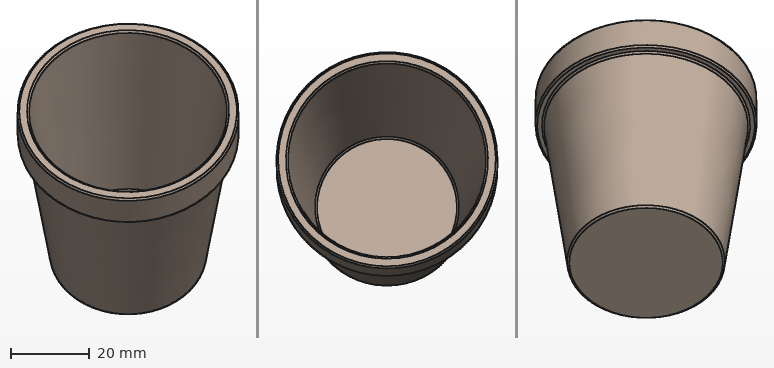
import cadquery as cq

height = 60.0
rim_radius = 28.11
rim_height = 10.0
edge_chamfer = 0.5

base_radius = 20.0
neck_radius = 26.0
wall = 2.0
floor = wall
rim_bottom = height - rim_height

taper = (neck_radius - base_radius) / rim_bottom
cavity_floor_radius = base_radius + taper * floor - wall
cavity_mouth_radius = base_radius + taper * height - wall

profile = [
    (0, 0),
    (base_radius, 0),
    (neck_radius, rim_bottom),
    (rim_radius, rim_bottom),
    (rim_radius, height),
    (cavity_mouth_radius, height),
    (cavity_floor_radius, floor),
    (0, floor),
]
cup = cq.Workplane("YZ").polyline(profile).close().revolve(360, (0, 0, 0), (0, 1, 0))

result = cup.edges("%CIRCLE").chamfer(edge_chamfer)